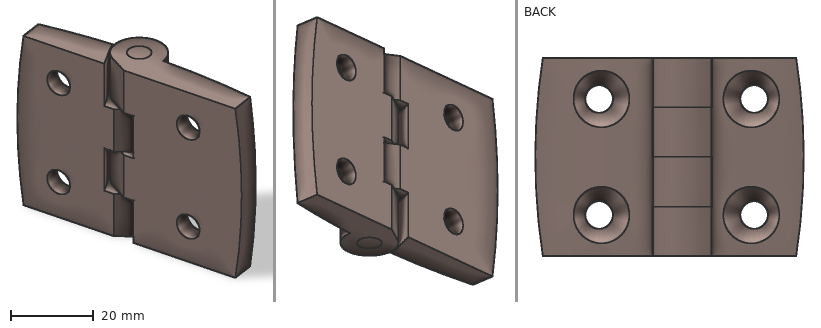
import cadquery as cq
import math

LENGTH = 65.0
HEIGHT = 48.0
END_BULGE = 1.8
CROWN_THICKNESS = 8.95
END_THICKNESS = 6.3

DEPTH = 16.0
KNUCKLE_RADIUS = 7.0
PIN_DIAMETER = 6.0
AXIS_X = -3.05
AXIS_Y = DEPTH - KNUCKLE_RADIUS
KNUCKLE_COUNT = 4
KNUCKLE_HEIGHT = HEIGHT / KNUCKLE_COUNT
WEB_ANGLE = math.radians(30)

RELIEF_RADIUS = KNUCKLE_RADIUS + 0.25
RELIEF_ANGLE = math.radians(22)

HOLE_DIAMETER = 6.6
SINK_DIAMETER = 13.65
SINK_ANGLE = 90.0
LEFT_HOLE_X = -20.5
RIGHT_HOLE_X = 17.0
HOLE_SPACING = 28.1


def prism(profile, bottom, height):
    """Extrude a closed XY sketch upward from the given Z."""
    return profile.extrude(height).translate((0, 0, bottom))


def make_plate():
    """Crowned plate with bulged ends, before it is split into two leaves."""
    half_length = LENGTH / 2
    corner_x = half_length - END_BULGE
    crowned = (
        cq.Workplane("XY")
        .moveTo(-half_length, 0)
        .lineTo(half_length, 0)
        .lineTo(half_length, END_THICKNESS)
        .threePointArc((0, CROWN_THICKNESS), (-half_length, END_THICKNESS))
        .close()
        .extrude(HEIGHT)
    )
    outline = (
        cq.Workplane("XZ")
        .moveTo(-corner_x, 0)
        .lineTo(corner_x, 0)
        .threePointArc((half_length, HEIGHT / 2), (corner_x, HEIGHT))
        .lineTo(-corner_x, HEIGHT)
        .threePointArc((-half_length, HEIGHT / 2), (-corner_x, 0))
        .close()
        .extrude(-DEPTH)
    )
    return crowned.intersect(outline)


def web_region(side):
    """XY outline of everything on one side of the barrel that belongs to a leaf with a knuckle."""
    tangent_x = KNUCKLE_RADIUS * math.sin(WEB_ANGLE)
    tangent_y = AXIS_Y - KNUCKLE_RADIUS * math.cos(WEB_ANGLE)
    foot_x = tangent_y / math.tan(WEB_ANGLE) - tangent_x
    return (
        cq.Workplane("XY")
        .moveTo(AXIS_X + side * foot_x, 0)
        .lineTo(AXIS_X + side * LENGTH, 0)
        .lineTo(AXIS_X + side * LENGTH, DEPTH)
        .lineTo(AXIS_X, DEPTH)
        .lineTo(AXIS_X, AXIS_Y)
        .lineTo(AXIS_X - side * tangent_x, tangent_y)
        .close()
    )


def relieved_region(side):
    """XY outline of everything on one side of the barrel that clears the other leaf's knuckle."""
    tangent_x = RELIEF_RADIUS * math.cos(RELIEF_ANGLE)
    tangent_y = AXIS_Y - RELIEF_RADIUS * math.sin(RELIEF_ANGLE)
    foot_x = tangent_x - tangent_y * math.tan(RELIEF_ANGLE)
    middle_x = RELIEF_RADIUS * math.cos(RELIEF_ANGLE / 2)
    middle_y = AXIS_Y - RELIEF_RADIUS * math.sin(RELIEF_ANGLE / 2)
    return (
        cq.Workplane("XY")
        .moveTo(AXIS_X + side * foot_x, 0)
        .lineTo(AXIS_X + side * LENGTH, 0)
        .lineTo(AXIS_X + side * LENGTH, DEPTH)
        .lineTo(AXIS_X + side * RELIEF_RADIUS, DEPTH)
        .lineTo(AXIS_X + side * RELIEF_RADIUS, AXIS_Y)
        .threePointArc((AXIS_X + side * middle_x, middle_y), (AXIS_X + side * tangent_x, tangent_y))
        .close()
    )


def crown_height(x):
    """Height of the crowned face above the flat face at a given X."""
    rise = CROWN_THICKNESS - END_THICKNESS
    radius = ((LENGTH / 2) ** 2 + rise**2) / (2 * rise)
    return CROWN_THICKNESS - radius + math.sqrt(radius**2 - x**2)


def cut_screw_holes(leaf, hole_x):
    """Two through holes, countersunk from the crowned face."""
    slope = math.tan(math.radians(SINK_ANGLE / 2))
    rim_radius = SINK_DIAMETER / 2 + (CROWN_THICKNESS - crown_height(hole_x)) * slope
    cone_depth = rim_radius / slope
    for offset in (-HOLE_SPACING / 2, HOLE_SPACING / 2):
        hole_z = HEIGHT / 2 + offset
        entry = cq.Vector(hole_x, 0, hole_z)
        rim = cq.Vector(hole_x, CROWN_THICKNESS, hole_z)
        drill = cq.Solid.makeCylinder(HOLE_DIAMETER / 2, DEPTH, entry, cq.Vector(0, 1, 0))
        cone = cq.Solid.makeCone(rim_radius, 0, cone_depth, rim, cq.Vector(0, -1, 0))
        leaf = leaf.cut(cq.Workplane(drill)).cut(cq.Workplane(cone))
    return leaf


def make_leaf(side, knuckle_parity, hole_x):
    """One leaf; side is -1 for left and +1 for right, its knuckles sit on even (0) or odd (1) levels."""
    plate = make_plate()
    leaf = cq.Workplane("XY")
    for level in range(KNUCKLE_COUNT):
        bottom = level * KNUCKLE_HEIGHT
        if level % 2 == knuckle_parity:
            barrel = prism(
                cq.Workplane("XY").center(AXIS_X, AXIS_Y).circle(KNUCKLE_RADIUS), bottom, KNUCKLE_HEIGHT
            )
            web = plate.intersect(prism(web_region(side), bottom, KNUCKLE_HEIGHT))
            leaf = leaf.add(barrel.union(web))
        else:
            leaf = leaf.add(plate.intersect(prism(relieved_region(side), bottom, KNUCKLE_HEIGHT)))
    leaf = leaf.combine()
    leaf = cut_screw_holes(leaf, hole_x)
    return leaf.cut(make_pin())


def make_pin():
    """Plain pin, flush with both ends of the barrel."""
    return cq.Workplane("XY").center(AXIS_X, AXIS_Y).circle(PIN_DIAMETER / 2).extrude(HEIGHT)


left_leaf = make_leaf(side=-1, knuckle_parity=0, hole_x=LEFT_HOLE_X)
right_leaf = make_leaf(side=1, knuckle_parity=1, hole_x=RIGHT_HOLE_X)
pin = make_pin()

result = cq.Compound.makeCompound([left_leaf.val(), right_leaf.val(), pin.val()])